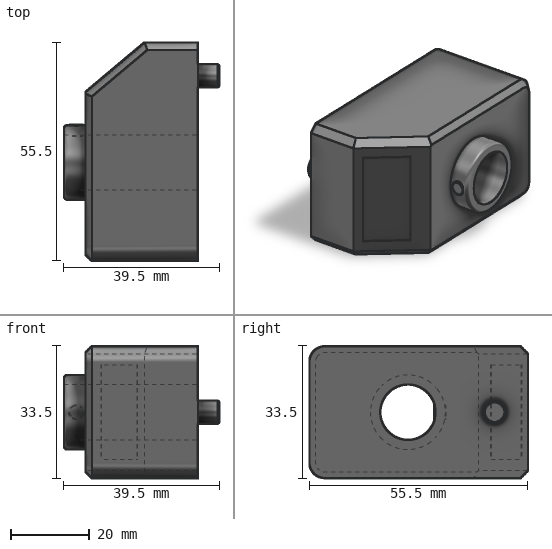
import cadquery as cq
import math

body_front = 5.5
body_depth = 28.5
body_back = body_front + body_depth
body_length = 55.5
body_height = 33.5
slope_run = 15.0
slope_angle = 40.0
corner_radius = 4.0
front_chamfer = 1.6
slope_chamfer = 1.95

label_length = 12.0
label_height = 24.0
label_depth = 0.2
label_end_gap = 2.5

collar_diameter = 19.0
bore_diameter = 14.0
collar_y = 25.05
collar_fillet = 1.0

screw_diameter = 4.0
screw_x = 3.15
screw_inner_reach = 6.6
screw_outer_reach = 9.6
screw_chamfer = 0.4

pin_diameter = 6.0
pin_length = 5.5
pin_y = collar_y + 22.0
pin_chamfer = 0.5

slope_radians = math.radians(slope_angle)
slope_foot_y = body_length - slope_run * math.tan(slope_radians)
slope_length = slope_run / math.cos(slope_radians)
slope_normal = (-math.sin(slope_radians), math.cos(slope_radians), 0)
slope_tangent = (math.cos(slope_radians), math.sin(slope_radians), 0)
slope_top = cq.Vector(body_front + slope_run, body_length, 0)


def cylinder_x(diameter, x_start, x_end, y):
    """Cylinder along X, centred at the given Y and mid height."""
    plane = cq.Workplane("YZ", origin=(x_start, y, 0))
    return plane.circle(diameter / 2).extrude(x_end - x_start)


def chamfered_slab(outline, chamfer):
    """Extruded outline with its top and bottom edges chamfered."""
    slab = cq.Workplane("XY").polyline(outline).close().extrude(body_height / 2, both=True)
    return slab.faces("|Z").edges().chamfer(chamfer)


def make_rounded_block():
    """Block with rounded -Y edges and a chamfered front face."""
    block = cq.Workplane("XY").box(body_depth, body_length, body_height)
    block = block.translate((body_front + body_depth / 2, body_length / 2, 0))
    block = block.edges("|X and <Y").fillet(corner_radius)
    front_edges = block.faces("<X").edges("not(>Y)")
    return front_edges.chamfer(front_chamfer)


def make_slope_envelope():
    """Slab bounded by the slope and the +Y face; its other sides lie clear of the body."""
    clearance = 2 * body_length
    slope_far = slope_top - cq.Vector(*slope_tangent) * clearance
    outline = [
        (slope_top.x, slope_top.y),
        (slope_far.x, slope_far.y),
        (slope_far.x, -clearance),
        (clearance, -clearance),
        (clearance, body_length),
    ]
    return chamfered_slab(outline, slope_chamfer)


def make_label_recess():
    """Shallow rectangular cutter sunk into the sloped face."""
    centre = slope_top - cq.Vector(*slope_tangent) * (label_end_gap + label_length / 2)
    plane = cq.Plane(origin=centre.toTuple(), xDir=slope_tangent, normal=slope_normal)
    return cq.Workplane(plane).rect(label_length, label_height).extrude(-label_depth)


def make_collar():
    """Solid collar boss with a rounded outer rim."""
    collar = cylinder_x(collar_diameter, 0, body_front, collar_y)
    return collar.faces("<X").edges().fillet(collar_fillet)


def make_set_screw():
    """Radial screw standing slightly proud of both the bore and the collar."""
    start = (screw_x, collar_y + screw_inner_reach, 0)
    plane = cq.Plane(origin=start, xDir=(1, 0, 0), normal=(0, 1, 0))
    screw = cq.Workplane(plane).circle(screw_diameter / 2).extrude(screw_outer_reach - screw_inner_reach)
    return screw.faces("|Y").edges().chamfer(screw_chamfer)


def make_pin():
    """Locating pin with a chamfered tip."""
    pin = cylinder_x(pin_diameter, body_back, body_back + pin_length, pin_y)
    return pin.faces(">X").edges().chamfer(pin_chamfer)


body = make_rounded_block().intersect(make_slope_envelope())
body = body.cut(make_label_recess())
body = body.union(make_collar()).union(make_pin())
body = body.cut(cylinder_x(bore_diameter, 0, body_back, collar_y))
result = body.union(make_set_screw())